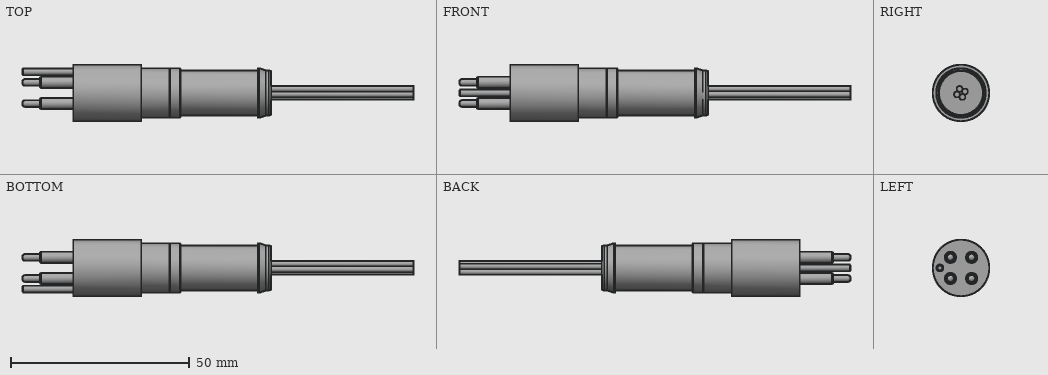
import cadquery as cq
import math

total_length = 109.9
shoulder_x = 4.9
head_start = 14.3
head_end = 33.4
collar_groove_x = 41.2
collar_end = 44.5
ridge_start = 66.0
ridge_end = 68.3
barrel_end = 69.9

head_diameter = 15.9
collar_diameter = 14.0
barrel_diameter = 12.7
groove_width = 0.3
groove_depth = 0.1
collar_chamfer = 0.3
ridge_diameter = 14.0
ridge_flat = 0.5
barrel_chamfer_length = 0.7
barrel_chamfer_depth = 0.2

contact_pitch = 5.9
contact_diameter = 3.2
contact_tip_diameter = 2.0
contact_chamfer = 0.3
tip_rounding = 0.9

guide_diameter = 2.0
guide_offset = 5.9
guide_chamfer = 0.3

wire_count = 4
wire_diameter = 1.6
wire_circle_radius = 1.2
wire_twist = 20.0

embed = 1.1


def rod(diameter, start, end, y, z):
    """Cylinder along X between two axial positions."""
    plane = cq.Workplane("YZ", origin=(start, y, z))
    return plane.circle(diameter / 2).extrude(end - start)


def turned_body():
    """Head, grooved collar, barrel and its rear ridge as one revolved profile."""
    head_r = head_diameter / 2
    collar_r = collar_diameter / 2
    barrel_r = barrel_diameter / 2
    ridge_r = ridge_diameter / 2
    groove_r = collar_r - groove_depth
    profile = [
        (head_start, 0),
        (head_start, head_r),
        (head_end, head_r),
        (head_end, collar_r),
        (collar_groove_x, collar_r),
        (collar_groove_x, groove_r),
        (collar_groove_x + groove_width, groove_r),
        (collar_groove_x + groove_width, collar_r),
        (collar_end - collar_chamfer, collar_r),
        (collar_end, collar_r - collar_chamfer),
        (collar_end, barrel_r),
        (ridge_start, barrel_r),
        (ridge_start, ridge_r),
        (ridge_start + ridge_flat, ridge_r),
        (ridge_end, barrel_r),
        (barrel_end - barrel_chamfer_length, barrel_r),
        (barrel_end, barrel_r - barrel_chamfer_depth),
        (barrel_end, 0),
    ]
    return cq.Workplane("XY").polyline(profile).close().revolve(360, (0, 0), (1, 0))


def contact(y, z):
    """Thick shank with a chamfered shoulder and a thinner, rounded tip."""
    shank = rod(contact_diameter, shoulder_x, head_start + embed, y, z)
    shank = shank.faces("<X").chamfer(contact_chamfer)
    tip = rod(contact_tip_diameter, 0, shoulder_x + embed, y, z)
    tip = tip.faces("<X").edges().fillet(tip_rounding)
    return shank.union(tip)


def guide_pin():
    """Plain pin with a chamfered end."""
    pin = rod(guide_diameter, 0, head_start + embed, guide_offset, 0)
    return pin.faces("<X").chamfer(guide_chamfer)


def wire(index):
    """One wire of the bundle, evenly spaced around the axis."""
    angle = math.radians(wire_twist + index * 360 / wire_count)
    y = wire_circle_radius * math.cos(angle)
    z = wire_circle_radius * math.sin(angle)
    return rod(wire_diameter, barrel_end - embed, total_length, y, z)


result = turned_body()
for y_side in (-1, 1):
    for z_side in (-1, 1):
        result = result.union(contact(y_side * contact_pitch / 2, z_side * contact_pitch / 2))
result = result.union(guide_pin())
for wire_index in range(wire_count):
    result = result.union(wire(wire_index))